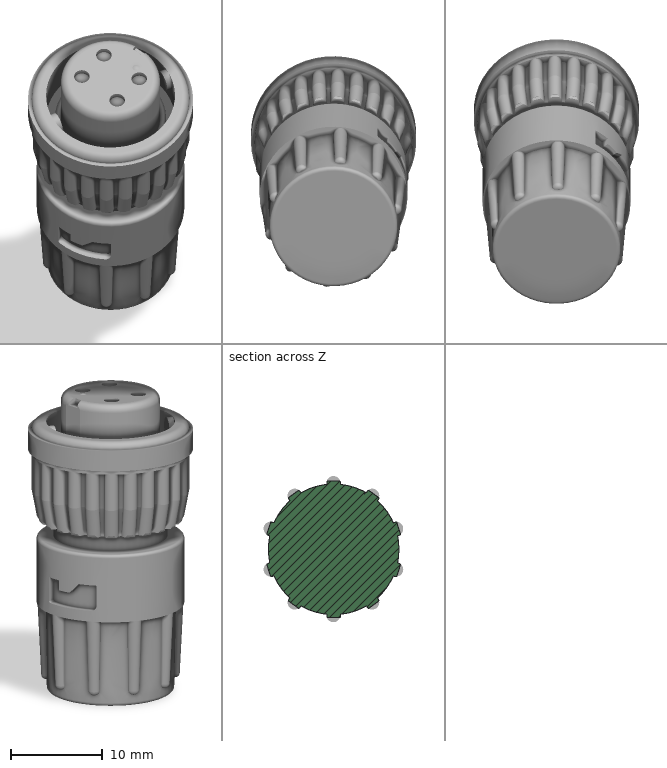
import math

import cadquery as cq

REAR_RIB_END_Z = 1.27
COLLAR_BOTTOM_Z = 9.88
COLLAR_TOP_Z = 17.5
NUT_BOTTOM_Z = 19.4
NUT_TAPER_Z = 22.75
NUT_RIB_TOP_Z = 26.8
RING_BOTTOM_Z = 27.3
RING_TOP_Z = 29.6
NUT_TOP_Z = 30.4
INSERT_TOP_Z = 33.7
OVERALL_HEIGHT = 33.78

REAR_BOTTOM_RADIUS = 6.95
REAR_TOP_RADIUS = 7.15
REAR_EDGE_FILLET = 0.4
REAR_RIB_COUNT = 10
REAR_RIB_PITCH = 360 / REAR_RIB_COUNT
REAR_RIB_FIRST_ANGLE = -90
REAR_RIB_TOP_CENTER = 7.2
REAR_RIB_BOTTOM_CENTER = 6.93
REAR_RIB_TOP_RADIUS = 0.77
REAR_RIB_BOTTOM_RADIUS = 0.61
REAR_RIB_END_FILLET = 0.5

COLLAR_RADIUS = 8.06
COLLAR_FILLET = 0.35
RECESS_FLOOR_RADIUS = 7.3
RECESS_ANGLE = 17.3
RECESS_HALF_WIDTH = 3.1
RECESS_STEP_X = -1.45
RECESS_RAMP_START_X = 0
RECESS_BOTTOM_Z = 11.1
RECESS_STEP_Z = 12.86
RECESS_TOP_Z = 14.0
RECESS_RAMP_END_X = RECESS_RAMP_START_X + RECESS_TOP_Z - RECESS_STEP_Z
RECESS_SMALL_CORNER = 0.2
RECESS_LARGE_CORNER = 0.6

NECK_RADIUS = 6.24

NUT_RADIUS = 8.6
NUT_BOTTOM_RADIUS = 7.97
RING_RADIUS = 9.015
NUT_TOP_FILLET = NUT_TOP_Z - RING_TOP_Z
NUT_RIB_COUNT = 24
NUT_RIB_PITCH = 360 / NUT_RIB_COUNT
NUT_RIB_FIRST_ANGLE = 6.5
NUT_RIB_RADIUS = 0.77
NUT_RIB_CENTER = NUT_RADIUS - NUT_RIB_RADIUS
NUT_VALLEY_RADIUS = 7.85
NUT_TAPER = NUT_RADIUS - NUT_BOTTOM_RADIUS
NUT_BOTTOM_CHAMFER_WIDTH = 0.15
NUT_BOTTOM_CHAMFER_HEIGHT = 0.25
MOUTH_RADIUS = 7.03
MOUTH_FLOOR_Z = 26.05

LIP_RADIUS = 6.05
LIP_ROUND_Z = 26.3

PIN_RADIUS = 1.1
PIN_TIP_RADIUS = 6.35
PIN_ROOT_RADIUS = 7.5
PIN_Z = 29.25
PIN_ANGLES = (66, 246)

INSERT_RADIUS = 5.4
INSERT_FILLET = 0.83
KEY_FLAT_Y = 5.27
KEY_NOTCH_Z = 33.0
KEY_NOTCH_INNER_Y = 4.5
KEY_NOTCH_INNER_WIDTH = 1.1
KEY_NOTCH_OUTER_WIDTH = 1.53
CONTACT_RADIUS = 0.85
CONTACT_DEPTH = 0.6
CONTACT_SPACING_X = 5.0
CONTACT_SPACING_Y = 3.76
DOT_X = 1.29
DOT_Y = 2.8
DOT_RADIUS = 0.38
DOT_HEIGHT = OVERALL_HEIGHT - INSERT_TOP_Z


def cylinder(radius, bottom, top):
    """Cylinder on the connector axis between two heights."""
    return cq.Workplane("XY").workplane(offset=bottom).circle(radius).extrude(top - bottom)


def frustum(bottom_radius, top_radius, bottom, top):
    """Cone frustum on the connector axis between two heights."""
    cone = cq.Solid.makeCone(bottom_radius, top_radius, top - bottom, pnt=cq.Vector(0, 0, bottom))
    return cq.Workplane(cone)


def turned(part, angle):
    """Copy of a part turned about the connector axis."""
    return part.rotate((0, 0, 0), (0, 0, 1), angle)


def rear_rib():
    """Tapered round rib leaning inward towards the rear end, with a rounded tip."""
    length = COLLAR_BOTTOM_Z - REAR_RIB_END_Z
    lean = math.degrees(math.atan2(REAR_RIB_TOP_CENTER - REAR_RIB_BOTTOM_CENTER, length))
    cone = cq.Workplane(cq.Solid.makeCone(REAR_RIB_BOTTOM_RADIUS, REAR_RIB_TOP_RADIUS, length))
    rib = cone.faces("<Z").edges().fillet(REAR_RIB_END_FILLET)
    leaning = rib.rotate((0, 0, 0), (0, 1, 0), lean)
    return leaning.translate((REAR_RIB_BOTTOM_CENTER, 0, REAR_RIB_END_Z))


def make_rear_body():
    sleeve = frustum(REAR_BOTTOM_RADIUS, REAR_TOP_RADIUS, 0, COLLAR_BOTTOM_Z)
    body = sleeve.faces("<Z").edges().fillet(REAR_EDGE_FILLET)
    rib = rear_rib()
    for index in range(REAR_RIB_COUNT):
        body = body.union(turned(rib, REAR_RIB_FIRST_ANGLE + index * REAR_RIB_PITCH))
    return body


def recess_cutter():
    """J-shaped prism pointing along -Y, stopping on the round recess floor."""
    prism = (
        cq.Workplane("XZ")
        .moveTo(-RECESS_HALF_WIDTH, RECESS_TOP_Z)
        .lineTo(RECESS_STEP_X, RECESS_TOP_Z)
        .lineTo(RECESS_STEP_X, RECESS_STEP_Z)
        .lineTo(RECESS_RAMP_START_X, RECESS_STEP_Z)
        .lineTo(RECESS_RAMP_END_X, RECESS_TOP_Z)
        .lineTo(RECESS_HALF_WIDTH, RECESS_TOP_Z)
        .lineTo(RECESS_HALF_WIDTH, RECESS_BOTTOM_Z + RECESS_LARGE_CORNER)
        .radiusArc((RECESS_HALF_WIDTH - RECESS_LARGE_CORNER, RECESS_BOTTOM_Z), RECESS_LARGE_CORNER)
        .lineTo(-RECESS_HALF_WIDTH + RECESS_SMALL_CORNER, RECESS_BOTTOM_Z)
        .radiusArc((-RECESS_HALF_WIDTH, RECESS_BOTTOM_Z + RECESS_SMALL_CORNER), RECESS_SMALL_CORNER)
        .close()
        .extrude(RING_RADIUS)
    )
    return prism.cut(cylinder(RECESS_FLOOR_RADIUS, COLLAR_BOTTOM_Z, COLLAR_TOP_Z))


def make_collar():
    collar = cylinder(COLLAR_RADIUS, COLLAR_BOTTOM_Z, COLLAR_TOP_Z)
    collar = collar.faces(">Z").edges().fillet(COLLAR_FILLET)
    cutter = recess_cutter()
    for half_turn in (0, 180):
        collar = collar.cut(turned(cutter, RECESS_ANGLE + half_turn))
    return collar


def nut_rib():
    """Round rib leaning outward from below the nut, then running straight up."""
    lean_height = NUT_TAPER_Z - NUT_BOTTOM_Z
    path = (
        cq.Workplane("XZ")
        .moveTo(NUT_RIB_CENTER, NUT_RIB_TOP_Z)
        .lineTo(NUT_RIB_CENTER, NUT_TAPER_Z)
        .lineTo(NUT_RIB_CENTER - 2 * NUT_TAPER, NUT_TAPER_Z - 2 * lean_height)
    )
    section = cq.Workplane("XY", origin=(NUT_RIB_CENTER, 0, NUT_RIB_TOP_Z)).circle(NUT_RIB_RADIUS)
    return section.sweep(path, transition="right")


def make_nut_grip():
    grip = cylinder(NUT_VALLEY_RADIUS, NUT_TAPER_Z, NUT_RIB_TOP_Z)
    grip = grip.union(frustum(NUT_VALLEY_RADIUS - NUT_TAPER, NUT_VALLEY_RADIUS, NUT_BOTTOM_Z, NUT_TAPER_Z))
    rib = nut_rib()
    for index in range(NUT_RIB_COUNT):
        grip = grip.union(turned(rib, NUT_RIB_FIRST_ANGLE + index * NUT_RIB_PITCH))
    chamfer_top_z = NUT_BOTTOM_Z + NUT_BOTTOM_CHAMFER_HEIGHT
    chamfer_radius = NUT_BOTTOM_RADIUS - NUT_BOTTOM_CHAMFER_WIDTH
    envelope = frustum(chamfer_radius, NUT_BOTTOM_RADIUS, NUT_BOTTOM_Z, chamfer_top_z)
    envelope = envelope.union(cylinder(RING_RADIUS, chamfer_top_z, NUT_RIB_TOP_Z))
    return grip.intersect(envelope)


def make_nut_mouth():
    """Plain upper part of the nut with its ring, still solid inside."""
    mouth = cylinder(NUT_RADIUS, NUT_RIB_TOP_Z, NUT_TOP_Z)
    mouth = mouth.faces(">Z").edges().fillet(NUT_TOP_FILLET)
    return mouth.union(cylinder(RING_RADIUS, RING_BOTTOM_Z, RING_TOP_Z))


def bayonet_pin():
    profile = cq.Workplane("YZ", origin=(PIN_TIP_RADIUS, 0, PIN_Z)).circle(PIN_RADIUS)
    return profile.extrude(PIN_ROOT_RADIUS - PIN_TIP_RADIUS)


def make_nut():
    nut = make_nut_grip().union(make_nut_mouth())
    nut = nut.cut(cylinder(MOUTH_RADIUS, MOUTH_FLOOR_Z, NUT_TOP_Z))
    pin = bayonet_pin()
    for angle in PIN_ANGLES:
        nut = nut.union(turned(pin, angle))
    return nut


def make_lip():
    """Half-round bead on a short wall rising from the mouth floor, hugging the insert."""
    bead_radius = (LIP_RADIUS - INSERT_RADIUS) / 2
    bead_center = INSERT_RADIUS + bead_radius
    origin = cq.Vector(0, 0, LIP_ROUND_Z)
    bead = cq.Solid.makeTorus(bead_center, bead_radius, origin, cq.Vector(0, 0, 1))
    wall = cylinder(LIP_RADIUS, MOUTH_FLOOR_Z, LIP_ROUND_Z)
    wall = wall.cut(cylinder(INSERT_RADIUS, MOUTH_FLOOR_Z, LIP_ROUND_Z))
    return wall.union(cq.Workplane(bead))


def make_dot():
    """Shallow domed marker beside one contact, cut from a sphere sunk in the insert."""
    sphere_radius = (DOT_RADIUS ** 2 + DOT_HEIGHT ** 2) / (2 * DOT_HEIGHT)
    sphere = cq.Workplane("XY").sphere(sphere_radius)
    sphere = sphere.translate((DOT_X, DOT_Y, OVERALL_HEIGHT - sphere_radius))
    core = cq.Workplane("XY", origin=(DOT_X, DOT_Y, INSERT_TOP_Z - DOT_HEIGHT)).circle(DOT_RADIUS)
    return sphere.intersect(core.extrude(2 * DOT_HEIGHT))


def make_insert():
    insert = cylinder(INSERT_RADIUS, MOUTH_FLOOR_Z, INSERT_TOP_Z)
    insert = insert.faces(">Z").edges().fillet(INSERT_FILLET)
    flat_cutter = (
        cq.Workplane("XY", origin=(0, KEY_FLAT_Y, MOUTH_FLOOR_Z))
        .box(INSERT_RADIUS, INSERT_RADIUS, INSERT_TOP_Z - MOUTH_FLOOR_Z, centered=(True, False, False))
    )
    notch_cutter = (
        cq.Workplane("XY", origin=(0, 0, KEY_NOTCH_Z))
        .moveTo(-KEY_NOTCH_INNER_WIDTH / 2, KEY_NOTCH_INNER_Y)
        .lineTo(KEY_NOTCH_INNER_WIDTH / 2, KEY_NOTCH_INNER_Y)
        .lineTo(KEY_NOTCH_OUTER_WIDTH / 2, KEY_FLAT_Y)
        .lineTo(-KEY_NOTCH_OUTER_WIDTH / 2, KEY_FLAT_Y)
        .close()
        .extrude(INSERT_TOP_Z - KEY_NOTCH_Z)
    )
    contacts = (
        cq.Workplane("XY", origin=(0, 0, INSERT_TOP_Z))
        .rarray(CONTACT_SPACING_X, CONTACT_SPACING_Y, 2, 2)
        .circle(CONTACT_RADIUS)
        .extrude(-CONTACT_DEPTH)
    )
    return insert.cut(flat_cutter).cut(notch_cutter).cut(contacts).union(make_dot())


result = (
    make_rear_body()
    .union(make_collar())
    .union(cylinder(NECK_RADIUS, COLLAR_TOP_Z, NUT_BOTTOM_Z))
    .union(make_nut())
    .union(make_lip())
    .union(make_insert())
)